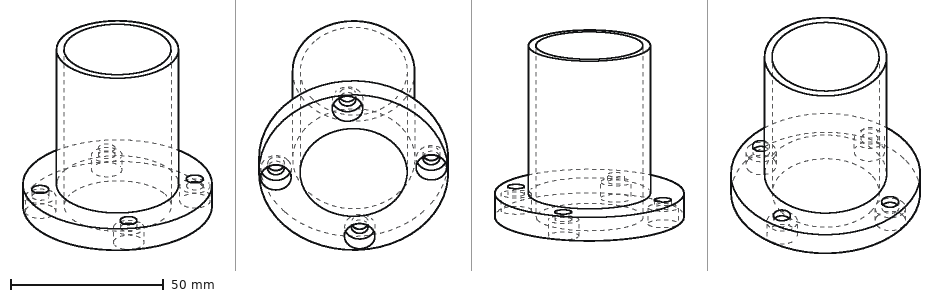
import cadquery as cq

flange_diameter = 62.0
flange_thickness = 8.0

total_height = 58.0
tube_outer_diameter = 40.0
bore_diameter = 35.0

bolt_hole_diameter = 5.5
bolt_circle_diameter = 51.0
bolt_count = 4
first_bolt_angle = 45.0
counterbore_diameter = 10.0
counterbore_roof_thickness = 2.5
counterbore_depth = flange_thickness - counterbore_roof_thickness


def cylinder(diameter, height):
    """Upright cylinder on the base plane, centred on the part axis."""
    return cq.Workplane("XY").circle(diameter / 2).extrude(height)


def bolt_pattern(diameter, height):
    """One upright cylinder at each bolt position, starting at the base plane."""
    return (
        cq.Workplane("XY")
        .polarArray(bolt_circle_diameter / 2, first_bolt_angle, 360, bolt_count)
        .circle(diameter / 2)
        .extrude(height)
    )


flange = cylinder(flange_diameter, flange_thickness)
tube = cylinder(tube_outer_diameter, total_height)
bore = cylinder(bore_diameter, total_height)
bolt_holes = bolt_pattern(bolt_hole_diameter, flange_thickness)
counterbores = bolt_pattern(counterbore_diameter, counterbore_depth)

result = flange.union(tube).cut(bore).cut(bolt_holes).cut(counterbores)